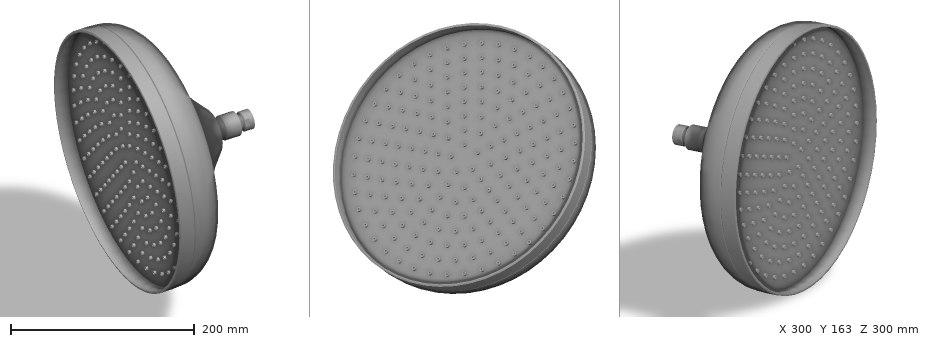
import cadquery as cq
import math


FACE_RADIUS = 150.0
CUP_INNER_RADIUS = 147.3
LIP_RADIUS = 148.5
LIP_BEVEL_HEIGHT = 0.5
CUP_HEIGHT = 18.3
PLATE_RECESS = 16.5
SEAM_CHAMFER = 1.0

RING_COUNT = 8
OUTER_RING_RADIUS = 131.7
RING_PITCH = OUTER_RING_RADIUS / RING_COUNT
NOZZLES_PER_RING_STEP = 5
NOZZLE_RADIUS = 2.5
NOZZLE_HEIGHT = 2.7
NOZZLE_BORE_RADIUS = 1.05

DOME_RADIUS = 149.7
SHOULDER_BASE_Y = 21.5
SHOULDER_TOP_RADIUS = 118.8
SHOULDER_TOP_Y = 61.2
CROWN_RADIUS = 26.5
CROWN_Y = 115.2
CROWN_ROUND = 10.2
CROWN_ANGLE = math.radians(45)
DOME_TOP_Y = CROWN_Y + CROWN_ROUND * (1 - math.cos(CROWN_ANGLE))
DOME_TOP_RADIUS = CROWN_RADIUS - CROWN_ROUND * math.sin(CROWN_ANGLE)

COLLAR_RADIUS = 14.0
COLLAR_HEIGHT = 4.5
COLLAR_CHAMFER = 1.0
COLLAR_WAIST_RADIUS = 12.5
COLLAR_STEP_Y = DOME_TOP_Y + COLLAR_HEIGHT

NUT_RADIUS = 14.0
NUT_BOTTOM_Y = 127.0
NUT_TOP_Y = 146.5
NUT_CHAMFER = 1.0

BALL_RADIUS = 11.0
BALL_CENTER_Y = 144.0
NECK_RADIUS = 9.3
HEAD_RADIUS = 11.5
HEAD_BOTTOM_Y = 151.2
HEAD_CHAMFER = 1.2
HEAD_TOP_Y = 163.0
FLAT_WIDTH = 8.0
FLAT_HEIGHT = 5.7
FLAT_ANGLES = (25, 205)


def turned(profile):
    """Revolve a closed profile, drawn as radius (X) against height (Y), about the Y axis."""
    return profile.close().revolve(360, (0, 0, 0), (0, 1, 0))


def make_nozzle():
    """One nozzle on the Y axis, pointing to -Y from the plate, with a blind bore."""
    tip_y = PLATE_RECESS - NOZZLE_HEIGHT
    return turned(
        cq.Workplane("XY")
        .moveTo(0, CUP_HEIGHT)
        .lineTo(NOZZLE_RADIUS, CUP_HEIGHT)
        .lineTo(NOZZLE_RADIUS, tip_y)
        .lineTo(NOZZLE_BORE_RADIUS, tip_y)
        .lineTo(NOZZLE_BORE_RADIUS, PLATE_RECESS)
        .lineTo(0, PLATE_RECESS)
    )


def make_spray_face():
    """Cup whose plate carries concentric rings of nozzles, each ring starting at +Z."""
    cup = turned(
        cq.Workplane("XY")
        .moveTo(0, PLATE_RECESS)
        .lineTo(CUP_INNER_RADIUS, PLATE_RECESS)
        .lineTo(CUP_INNER_RADIUS, 0)
        .lineTo(LIP_RADIUS, 0)
        .lineTo(FACE_RADIUS, LIP_BEVEL_HEIGHT)
        .lineTo(FACE_RADIUS, CUP_HEIGHT - SEAM_CHAMFER)
        .lineTo(FACE_RADIUS - SEAM_CHAMFER, CUP_HEIGHT)
        .lineTo(0, CUP_HEIGHT)
    )
    nozzle = make_nozzle().val()
    nozzles = []
    for ring in range(1, RING_COUNT + 1):
        count = ring * NOZZLES_PER_RING_STEP
        for index in range(count):
            angle = 2 * math.pi * index / count
            x = ring * RING_PITCH * math.sin(angle)
            z = ring * RING_PITCH * math.cos(angle)
            nozzles.append(nozzle.translate(cq.Vector(x, 0, z)))
    return cq.Workplane(cup.val().fuse(*nozzles))


def make_dome():
    """Bell-shaped body: rounded shoulder, concave flank and a small rounded crown."""
    return turned(
        cq.Workplane("XY")
        .moveTo(0, CUP_HEIGHT)
        .lineTo(DOME_RADIUS - SEAM_CHAMFER, CUP_HEIGHT)
        .lineTo(DOME_RADIUS, CUP_HEIGHT + SEAM_CHAMFER)
        .lineTo(DOME_RADIUS, SHOULDER_BASE_Y)
        .tangentArcPoint((SHOULDER_TOP_RADIUS, SHOULDER_TOP_Y), relative=False)
        .tangentArcPoint((CROWN_RADIUS, CROWN_Y), relative=False)
        .tangentArcPoint((DOME_TOP_RADIUS, DOME_TOP_Y), relative=False)
        .lineTo(0, DOME_TOP_Y)
    )


def make_collar():
    """Collar on the crown with a waisted neck under the nut."""
    waist_y = (COLLAR_STEP_Y + NUT_BOTTOM_Y) / 2
    return turned(
        cq.Workplane("XY")
        .moveTo(0, DOME_TOP_Y)
        .lineTo(COLLAR_RADIUS - COLLAR_CHAMFER, DOME_TOP_Y)
        .lineTo(COLLAR_RADIUS, DOME_TOP_Y + COLLAR_CHAMFER)
        .lineTo(COLLAR_RADIUS, COLLAR_STEP_Y - COLLAR_CHAMFER)
        .lineTo(COLLAR_RADIUS - COLLAR_CHAMFER, COLLAR_STEP_Y)
        .threePointArc((COLLAR_WAIST_RADIUS, waist_y), (COLLAR_RADIUS - COLLAR_CHAMFER, NUT_BOTTOM_Y))
        .lineTo(0, NUT_BOTTOM_Y)
    )


def make_nut():
    """Plain round nut with both rims chamfered."""
    return turned(
        cq.Workplane("XY")
        .moveTo(0, NUT_BOTTOM_Y)
        .lineTo(NUT_RADIUS - NUT_CHAMFER, NUT_BOTTOM_Y)
        .lineTo(NUT_RADIUS, NUT_BOTTOM_Y + NUT_CHAMFER)
        .lineTo(NUT_RADIUS, NUT_TOP_Y - NUT_CHAMFER)
        .lineTo(NUT_RADIUS - NUT_CHAMFER, NUT_TOP_Y)
        .lineTo(0, NUT_TOP_Y)
    )


def ball_point(angle):
    """Point of the ball outline at an angle above its equator."""
    return (BALL_RADIUS * math.cos(angle), BALL_CENTER_Y + BALL_RADIUS * math.sin(angle))


def make_inlet():
    """Ball stub standing on the nut, with a neck and a head that has two wrench flats."""
    start_angle = math.asin((NUT_TOP_Y - BALL_CENTER_Y) / BALL_RADIUS)
    end_angle = math.acos(NECK_RADIUS / BALL_RADIUS)
    inlet = turned(
        cq.Workplane("XY")
        .moveTo(0, NUT_TOP_Y)
        .lineTo(*ball_point(start_angle))
        .threePointArc(ball_point((start_angle + end_angle) / 2), ball_point(end_angle))
        .lineTo(NECK_RADIUS, HEAD_BOTTOM_Y)
        .lineTo(HEAD_RADIUS - HEAD_CHAMFER, HEAD_BOTTOM_Y)
        .lineTo(HEAD_RADIUS, HEAD_BOTTOM_Y + HEAD_CHAMFER)
        .lineTo(HEAD_RADIUS, HEAD_TOP_Y)
        .lineTo(0, HEAD_TOP_Y)
    )
    flat_distance = math.sqrt(HEAD_RADIUS**2 - (FLAT_WIDTH / 2) ** 2)
    flat_cutter = cq.Workplane("XY").box(
        HEAD_RADIUS, FLAT_HEIGHT, FLAT_WIDTH, centered=(False, False, True)
    ).translate((flat_distance, HEAD_BOTTOM_Y, 0))
    for angle in FLAT_ANGLES:
        inlet = inlet.cut(flat_cutter.rotate((0, 0, 0), (0, -1, 0), angle))
    return inlet


spray_face = make_spray_face()
dome = make_dome()
collar = make_collar()
nut = make_nut()
inlet = make_inlet()

result = cq.Compound.makeCompound(
    [spray_face.val(), dome.val(), collar.val(), nut.val(), inlet.val()]
)